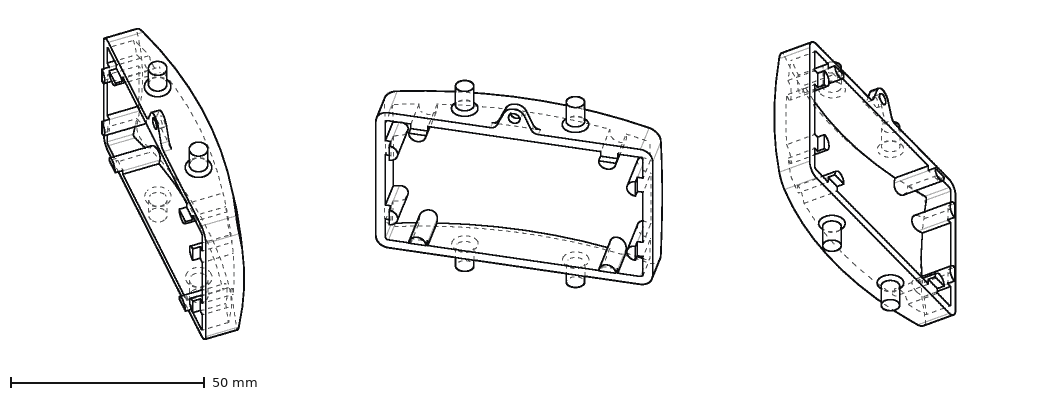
import cadquery as cq
import math

LENGTH = 73.5
HEIGHT = 43.5
CORNER_RADIUS = 3.3
WALL = 2.6

DOME_APEX = 16.5
DOME_RADIUS = 119.8
BACK_THICKNESS = 2.6

OVERALL_HEIGHT = 58.0
PIN_DIAMETER = 4.8
PIN_X = 14.7
PIN_Y = 6.5
PIN_FLARE = 1.0

LUG_THICKNESS = 2.2
LUG_RADIUS = 3.0
LUG_HOLE_DIAMETER = 3.0
LUG_Z = 25.8
LUG_FLARE = math.radians(23.5)
LUG_FILLET = 2.0

RIB_RADIUS = 2.3
RIB_PROTRUSION = 2.05
PAD_DEPTH = 1.5
LONG_WALL_RIB_X = 25.2
SHORT_WALL_RIB_Z = 10.4

EMBED = WALL / 2
INNER_LENGTH = LENGTH - 2 * WALL
INNER_HEIGHT = HEIGHT - 2 * WALL


def domed_block(length, height, corner_radius, dome_radius):
    """Rounded block from the rim plane back to a sphere about the dome centre."""
    block = (
        cq.Workplane("XZ")
        .rect(length, height)
        .extrude(-DOME_APEX)
        .edges("|Y")
        .fillet(corner_radius)
    )
    sphere = cq.Workplane("XY").sphere(dome_radius).translate((0, DOME_APEX - DOME_RADIUS, 0))
    return block.intersect(sphere)


def pivot_pin(x, side):
    """Pin with a 45 degree conical root; side is +1 for the top wall, -1 for the bottom."""
    radius = PIN_DIAMETER / 2
    root = HEIGHT / 2
    profile = (
        cq.Workplane("XZ")
        .moveTo(0, root - EMBED)
        .lineTo(radius + PIN_FLARE, root - EMBED)
        .lineTo(radius + PIN_FLARE, root)
        .lineTo(radius, root + PIN_FLARE)
        .lineTo(radius, OVERALL_HEIGHT / 2)
        .lineTo(0, OVERALL_HEIGHT / 2)
        .close()
    )
    pin = profile.revolve(360, (0, 0, 0), (0, 1, 0))
    if side < 0:
        pin = pin.mirror("XY")
    return pin.translate((x, PIN_Y, 0))


def hanging_lug():
    """Round-ended lug whose sloping sides blend tangentially into the top wall."""
    root = HEIGHT / 2
    normal_x = math.cos(LUG_FLARE)
    normal_z = math.sin(LUG_FLARE)
    fillet_z = root + LUG_FILLET
    fillet_x = (LUG_RADIUS + LUG_FILLET + (LUG_Z - fillet_z) * normal_z) / normal_x
    shoulder = (LUG_RADIUS * normal_x, LUG_Z + LUG_RADIUS * normal_z)
    blend_start = (fillet_x - LUG_FILLET * normal_x, fillet_z - LUG_FILLET * normal_z)
    blend_angle = (math.pi / 2 + LUG_FLARE) / 2
    blend_middle = (
        fillet_x - LUG_FILLET * math.cos(blend_angle),
        fillet_z - LUG_FILLET * math.sin(blend_angle),
    )
    outline = (
        cq.Workplane("XZ")
        .moveTo(-fillet_x, root - EMBED)
        .lineTo(fillet_x, root - EMBED)
        .lineTo(fillet_x, root)
        .threePointArc(blend_middle, blend_start)
        .lineTo(*shoulder)
        .threePointArc((0, LUG_Z + LUG_RADIUS), (-shoulder[0], shoulder[1]))
        .lineTo(-blend_start[0], blend_start[1])
        .threePointArc((-blend_middle[0], blend_middle[1]), (-fillet_x, root))
        .close()
    )
    hole = (
        cq.Workplane("XZ")
        .center(0, LUG_Z)
        .circle(LUG_HOLE_DIAMETER / 2)
        .extrude(-LUG_THICKNESS)
    )
    return outline.extrude(-LUG_THICKNESS).cut(hole)


def wall_rib(wall_distance, along, turn):
    """Pad and half-round rib on a wall; turn rotates it about Y from the +Z wall."""
    flat = wall_distance - PAD_DEPTH
    pad = (
        cq.Workplane("XZ")
        .center(along, (flat + wall_distance + EMBED) / 2)
        .rect(2 * RIB_RADIUS, PAD_DEPTH + EMBED)
        .extrude(-DOME_APEX)
    )
    half_round = (
        cq.Workplane("XZ")
        .workplane(offset=RIB_PROTRUSION)
        .moveTo(along - RIB_RADIUS, flat)
        .threePointArc((along, flat - RIB_RADIUS), (along + RIB_RADIUS, flat))
        .close()
        .extrude(-DOME_APEX - RIB_PROTRUSION)
    )
    return pad.union(half_round).rotate((0, 0, 0), (0, 1, 0), turn)


outer = domed_block(LENGTH, HEIGHT, CORNER_RADIUS, DOME_RADIUS)
cavity = domed_block(
    INNER_LENGTH, INNER_HEIGHT, CORNER_RADIUS - WALL, DOME_RADIUS - BACK_THICKNESS
)
result = outer.cut(cavity)

rib_limit = cq.Workplane("XY").sphere(DOME_RADIUS - BACK_THICKNESS / 2)
rib_limit = rib_limit.translate((0, DOME_APEX - DOME_RADIUS, 0))
for side in (-1, 1):
    for turn in (0, 180):
        rib = wall_rib(INNER_HEIGHT / 2, side * LONG_WALL_RIB_X, turn)
        result = result.union(rib.intersect(rib_limit))
    for turn in (90, 270):
        rib = wall_rib(INNER_LENGTH / 2, side * SHORT_WALL_RIB_Z, turn)
        result = result.union(rib.intersect(rib_limit))

for x in (-PIN_X, PIN_X):
    for side in (-1, 1):
        result = result.union(pivot_pin(x, side))

result = result.union(hanging_lug())